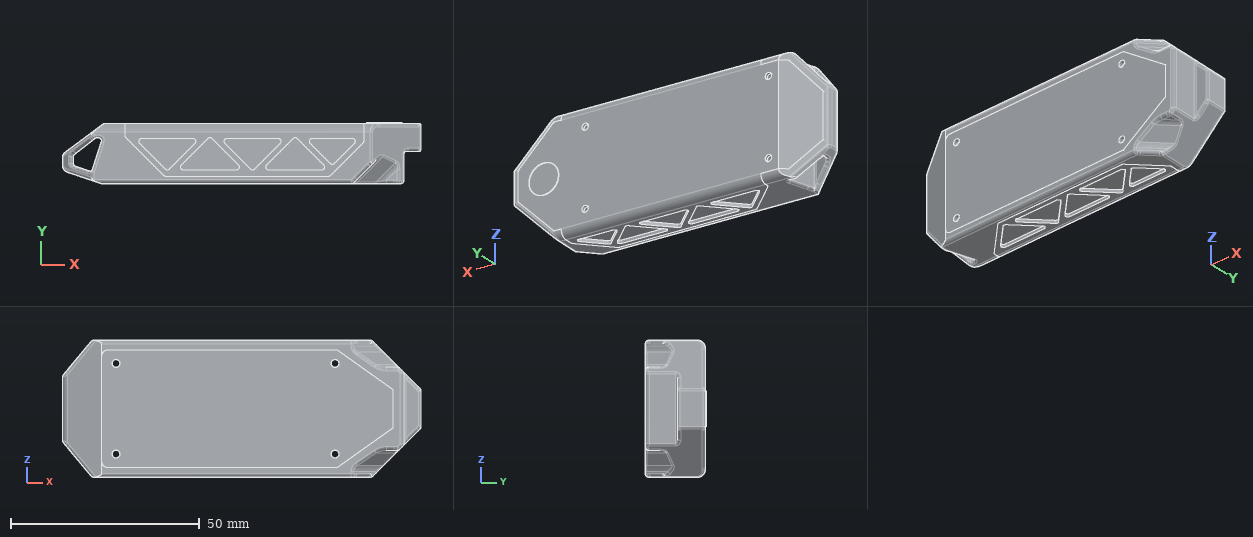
import cadquery as cq
import math


LENGTH = 94.98
WIDTH = 36.4
DEPTH = 16.0
HALF_WIDTH = WIDTH / 2

FRONT_FOLD_X = 10.4
BACK_FOLD_X = 11.0
NOSE_FRONT_Y = 3.5
NOSE_BACK_Y = 7.85
NOSE_FRONT_RADIUS = 2.0
NOSE_BACK_RADIUS = 1.65
LOOP_CORNER_X = 7.9
LOOP_NOSE_HALF_WIDTH = 8.7
LOOP_SLOPE = (HALF_WIDTH - LOOP_NOSE_HALF_WIDTH) / LOOP_CORNER_X

TIP_HALF_WIDTH = 5.07
TIP_FRONT_Y = 8.55
SHOULDER_X = 90.5
SIDE_CORNER_X = LENGTH - (HALF_WIDTH - TIP_HALF_WIDTH)

FRONT_EDGE_RADIUS = 1.1
BACK_EDGE_RADIUS = 2.3
LOOP_EDGE_RADIUS = 1.1
TIP_EDGE_RADIUS = 0.9
TIP_END_RADIUS = 0.65
SHOULDER_RADIUS = 0.5

STRAP_HOLE_FRONT_CORNER = (7.7, 3.25)
STRAP_HOLE_OTHER_CORNERS = [(10.6, 12.15), (8.85, 12.15), (2.98, 7.6), (2.98, 4.85)]
STRAP_HOLE_RADIUS = 0.7
STRAP_HOLE_FRONT_RADIUS = 0.4
STRAP_HOLE_RIM_RADIUS = 0.75

NOTCH_WALL_X = 76.85
NOTCH_KNEE_Z = 15.6
NOTCH_FLOOR_X = 83.6
NOTCH_FLOOR_Z = 11.0
NOTCH_KNEE_RADIUS = 1.8
NOTCH_FLOOR_RADIUS = 4.0
NOTCH_RIM_RADIUS = 1.0

LID_THICKNESS = 1.5
LID_HALF_WIDTH = 15.55
LID_TAPER_X = 72.8
LID_END_X = 87.5
LID_END_HALF_WIDTH = 5.1
LID_CORNER_RADIUS = 1.6

SCREW_DIAMETER = 2.0
SCREW_FIRST_X = 14.2
SCREW_SPACING_X = 58.0
SCREW_SPACING_Z = 24.0

COVER_THICKNESS = 1.0
COVER_HALF_WIDTH = HALF_WIDTH - BACK_EDGE_RADIUS
COVER_NOSE_X = 1.5
COVER_NOSE_HALF_WIDTH = 7.1
COVER_TIP_X = 93.5
COVER_TIP_HALF_WIDTH = 4.5

FLAP_START_X = 16.6
FLAP_END_X = 79.8
FLAP_BOTTOM_Y = 2.0
FLAP_BOTTOM_START_X = 27.05
FLAP_BOTTOM_END_X = 70.8
FLAP_CORNER_RADIUS = 0.8

RIB_WIDTH = 1.5
WINDOW_TOP_Y = 12.0
WINDOW_BASE_Y = 3.7
WINDOW_FIRST_X = 27.78
WINDOW_PITCH = 22.57
WINDOW_HALF_WIDTH = 8.61
LAST_WINDOW_HALF_WIDTH = 7.15
WINDOW_CORNER_RADIUS = 0.75

PAD_DIAMETER = 9.35
PAD_HEIGHT = 0.21
PAD_X = 85.2

CLEARANCE = 5.0
TOLERANCE = 0.01


def mirrored(upper_points):
    """Outline symmetric about Z = 0 from its upper half, listed from -X to +X."""
    return upper_points + [(x, -z) for x, z in reversed(upper_points)]


def along_z(points, z_start=-HALF_WIDTH, z_end=HALF_WIDTH):
    """Prism of an XY outline between two Z positions."""
    outline = cq.Workplane("XY", origin=(0, 0, z_start)).polyline(points).close()
    return outline.extrude(z_end - z_start)


def along_y(points, y_start, y_end):
    """Prism of an XZ outline between two Y positions."""
    outline = cq.Workplane("XZ", origin=(0, y_start, 0)).polyline(points).close()
    return outline.extrude(y_start - y_end)


def matching_edges(body, test):
    """Edges of the body that pass the test."""
    return body.newObject([edge for edge in body.edges().vals() if test(edge)])


def upright_edges(prism, *corners):
    """Edges of a Z prism that stand on the given XY corners."""
    def on_corner(edge):
        foot = edge.Center()
        return any(math.dist((foot.x, foot.y), corner) < TOLERANCE for corner in corners)
    return prism.newObject([edge for edge in prism.edges("|Z").vals() if on_corner(edge)])


def lies_on(edge, height):
    """True where the edge keeps to the surface on which the height function of a point is zero."""
    return all(abs(height(edge.positionAt(t))) < TOLERANCE for t in (0, 0.5, 1))


def opening_rim(body, uncut_body, cutter):
    """Edges that a cutter left on the outer surface of the body it cut."""
    skin = uncut_body.val().Shells()[0]
    tool = cutter.val()

    def on_rim(edge):
        middle = cq.Vertex.makeVertex(*edge.positionAt(0.5).toTuple())
        return middle.distance(skin) < TOLERANCE and middle.distance(tool) < TOLERANCE
    return matching_edges(body, on_rim)


def side_profile():
    """Form seen along Z: sloped strap end, flat front and back, stepped tip."""
    nose_front = (0, NOSE_FRONT_Y)
    nose_back = (0, NOSE_BACK_Y)
    shoulder_front = (SHOULDER_X, 0)
    shoulder_inner = (SHOULDER_X, TIP_FRONT_Y)
    tip_front = (LENGTH, TIP_FRONT_Y)
    tip_back = (LENGTH, DEPTH)
    profile = along_z([
        nose_front, (FRONT_FOLD_X, 0), shoulder_front, shoulder_inner,
        tip_front, tip_back, (BACK_FOLD_X, DEPTH), nose_back])
    profile = upright_edges(profile, nose_front).fillet(NOSE_FRONT_RADIUS)
    profile = upright_edges(profile, nose_back).fillet(NOSE_BACK_RADIUS)
    profile = upright_edges(profile, shoulder_front).fillet(FRONT_EDGE_RADIUS)
    profile = upright_edges(profile, shoulder_inner).fillet(SHOULDER_RADIUS)
    return upright_edges(profile, tip_front, tip_back).fillet(TIP_END_RADIUS)


def plan_form():
    """Form seen along Y: a long octagon with a narrow tip."""
    return along_y(mirrored([
        (0, LOOP_NOSE_HALF_WIDTH), (LOOP_CORNER_X, HALF_WIDTH),
        (SIDE_CORNER_X, HALF_WIDTH), (LENGTH, TIP_HALF_WIDTH)]), 0, DEPTH)


def rounded_slab():
    """Long bar with the case's cross-section: small front radii, large back radii."""
    slab = cq.Workplane("XY").box(LENGTH, DEPTH, WIDTH, centered=(False, False, True))
    slab = slab.edges("|X and <Y").fillet(FRONT_EDGE_RADIUS)
    return slab.edges("|X and >Y").fillet(BACK_EDGE_RADIUS)


def round_loop_edges(body):
    """Round the outline of the two slanted faces beside the strap loop."""
    def above_loop_face(point):
        return abs(point.z) - LOOP_NOSE_HALF_WIDTH - LOOP_SLOPE * point.x
    rim = matching_edges(body, lambda edge: lies_on(edge, above_loop_face))
    return rim.fillet(LOOP_EDGE_RADIUS)


def round_tip_edges(body):
    """Round the outline of the two 45 degree faces, except along the shoulder below the tip."""
    def above_tip_face(point):
        return point.x + abs(point.z) - LENGTH - TIP_HALF_WIDTH

    def on_tip_outline(edge):
        centre = edge.Center()
        on_tip = centre.y > TIP_FRONT_Y - TOLERANCE
        on_side_corner = abs(centre.x - SIDE_CORNER_X) < TOLERANCE
        return lies_on(edge, above_tip_face) and (on_tip or on_side_corner)
    return matching_edges(body, on_tip_outline).fillet(TIP_EDGE_RADIUS)


def cut_strap_hole(body):
    """Opening across the strap end, with a rounded rim."""
    hole = along_z([STRAP_HOLE_FRONT_CORNER] + STRAP_HOLE_OTHER_CORNERS)
    hole = upright_edges(hole, *STRAP_HOLE_OTHER_CORNERS).fillet(STRAP_HOLE_RADIUS)
    hole = upright_edges(hole, STRAP_HOLE_FRONT_CORNER).fillet(STRAP_HOLE_FRONT_RADIUS)
    cut_body = body.cut(hole)
    return opening_rim(cut_body, body, hole).fillet(STRAP_HOLE_RIM_RADIUS)


def notch_cutter():
    """Bent XZ outline swept along the X = Y diagonal, from ahead of the front face to the back."""
    start = -CLEARANCE
    outer_x = LENGTH + CLEARANCE
    outer_z = HALF_WIDTH + CLEARANCE
    knee = (NOTCH_WALL_X, NOTCH_KNEE_Z)
    floor_start = (NOTCH_FLOOR_X, NOTCH_FLOOR_Z)
    outline = [
        (NOTCH_WALL_X, outer_z), knee, floor_start, (outer_x, NOTCH_FLOOR_Z), (outer_x, outer_z)]
    wire = cq.Workplane("XZ", origin=(start, start, 0)).polyline(outline).close().wire().val()
    face = cq.Face.makeFromWires(wire)
    for corner, radius in ((knee, NOTCH_KNEE_RADIUS), (floor_start, NOTCH_FLOOR_RADIUS)):
        place = (corner[0] + start, start, corner[1])
        vertices = [v for v in face.Vertices() if math.dist(v.toTuple(), place) < TOLERANCE]
        face = face.fillet2D(radius, vertices)
    reach = DEPTH + CLEARANCE
    return cq.Workplane(cq.Solid.extrudeLinear(face, cq.Vector(reach, reach, 0)))


def cut_notches(body):
    """Diagonal finger notches on both sides of the tip, with rounded rims."""
    upper_cutter = notch_cutter()
    for cutter in (upper_cutter, upper_cutter.mirror("XY")):
        cut_body = body.cut(cutter)
        body = opening_rim(cut_body, body, cutter).fillet(NOTCH_RIM_RADIUS)
    return body


def screw_holes():
    """Four holes through the whole depth."""
    return (
        cq.Workplane("XZ", origin=(SCREW_FIRST_X + SCREW_SPACING_X / 2, 0, 0))
        .rect(SCREW_SPACING_X, SCREW_SPACING_Z, forConstruction=True)
        .vertices()
        .circle(SCREW_DIAMETER / 2)
        .extrude(-DEPTH)
    )


def closed_case():
    """Whole case as one block, before it is divided into its bodies."""
    case = side_profile().intersect(plan_form())
    case = round_loop_edges(case)
    case = cut_strap_hole(case)
    case = case.intersect(rounded_slab())
    case = round_tip_edges(case)
    case = cut_notches(case)
    return case.cut(screw_holes())


def lid_space():
    """Flush recess in the front face, starting at the front fold and tapering towards the tip."""
    space = along_y(mirrored([
        (FRONT_FOLD_X, LID_HALF_WIDTH), (LID_TAPER_X, LID_HALF_WIDTH),
        (LID_END_X, LID_END_HALF_WIDTH)]), 0, LID_THICKNESS)
    return space.edges("|Y and <X").fillet(LID_CORNER_RADIUS)


def back_skin():
    """Layer of cover thickness under the flat back and the sloped back of the strap end."""
    slope_angle = math.atan2(DEPTH - NOSE_BACK_Y, BACK_FOLD_X)
    inner_y = DEPTH - COVER_THICKNESS
    inner_fold_x = BACK_FOLD_X + COVER_THICKNESS * math.tan(slope_angle / 2)
    inner_nose_y = inner_y - inner_fold_x * math.tan(slope_angle)
    outer_y = DEPTH + CLEARANCE
    return along_z([
        (0, inner_nose_y), (inner_fold_x, inner_y), (LENGTH, inner_y),
        (LENGTH, outer_y), (0, outer_y)])


def cover_outline():
    """Plan of the cover on the back, widened to the full width between the ends of the flaps."""
    nose_run = (COVER_HALF_WIDTH - COVER_NOSE_HALF_WIDTH) / LOOP_SLOPE
    tip_run = COVER_HALF_WIDTH - COVER_TIP_HALF_WIDTH
    return along_y(mirrored([
        (COVER_NOSE_X, COVER_NOSE_HALF_WIDTH), (COVER_NOSE_X + nose_run, COVER_HALF_WIDTH),
        (FLAP_START_X, COVER_HALF_WIDTH), (FLAP_START_X, HALF_WIDTH),
        (FLAP_END_X, HALF_WIDTH), (FLAP_END_X, COVER_HALF_WIDTH),
        (COVER_TIP_X - tip_run, COVER_HALF_WIDTH), (COVER_TIP_X, COVER_TIP_HALF_WIDTH)]),
        0, DEPTH + CLEARANCE)


def side_flap():
    """Tapered flap on the +Z side, reaching from the back down towards the front."""
    bottom_start = (FLAP_BOTTOM_START_X, FLAP_BOTTOM_Y)
    bottom_end = (FLAP_BOTTOM_END_X, FLAP_BOTTOM_Y)
    start_knee = (FLAP_START_X, FLAP_BOTTOM_Y + FLAP_BOTTOM_START_X - FLAP_START_X)
    end_knee = (FLAP_END_X, FLAP_BOTTOM_Y + FLAP_END_X - FLAP_BOTTOM_END_X)
    flap = along_z([
        (FLAP_START_X, DEPTH), start_knee, bottom_start, bottom_end, end_knee, (FLAP_END_X, DEPTH)],
        HALF_WIDTH - COVER_THICKNESS, HALF_WIDTH)
    return upright_edges(flap, start_knee, bottom_start, bottom_end, end_knee).fillet(FLAP_CORNER_RADIUS)


def cover_space():
    """Back skin within the cover outline, joined to both side flaps."""
    flap = side_flap()
    return back_skin().intersect(cover_outline()).union(flap).union(flap.mirror("XY"))


def window(centre_x, half_width, base_y, direction):
    """45 degree triangular window through both flaps; it points to +Y or -Y as direction is 1 or -1."""
    apex_y = base_y + direction * half_width
    triangle = along_z([
        (centre_x - half_width, base_y), (centre_x + half_width, base_y), (centre_x, apex_y)])
    triangle = triangle.edges("|Z").fillet(WINDOW_CORNER_RADIUS)
    core_width = WIDTH - 2 * COVER_THICKNESS
    core = cq.Workplane("XY").box(LENGTH, DEPTH, core_width, centered=(False, False, True))
    return triangle.cut(core)


def flap_windows():
    """Row of windows pointing alternately to the front and to the back, one rib width apart."""
    rib_step = RIB_WIDTH * math.sqrt(2)
    half_width_at_top = WINDOW_PITCH / 2 - WINDOW_HALF_WIDTH - rib_step
    half_width_at_base = half_width_at_top + WINDOW_TOP_Y - WINDOW_BASE_Y
    windows = []
    for i in range(2):
        centre_x = WINDOW_FIRST_X + i * WINDOW_PITCH
        windows.append(window(centre_x, WINDOW_HALF_WIDTH, WINDOW_TOP_Y, -1))
        windows.append(window(centre_x + WINDOW_PITCH / 2, half_width_at_base, WINDOW_BASE_Y, 1))
    last_x = WINDOW_FIRST_X + 2 * WINDOW_PITCH - (WINDOW_HALF_WIDTH - LAST_WINDOW_HALF_WIDTH)
    windows.append(window(last_x, LAST_WINDOW_HALF_WIDTH, WINDOW_TOP_Y, -1))
    return windows


def make_housing(case):
    return case.cut(lid_space()).cut(cover_space())


def make_lid(case):
    return case.intersect(lid_space())


def make_cover(case):
    cover = case.intersect(cover_space())
    for opening in flap_windows():
        cover = cover.cut(opening)
    pad = cq.Workplane("XZ", origin=(PAD_X, DEPTH - COVER_THICKNESS, 0))
    pad = pad.circle(PAD_DIAMETER / 2).extrude(-COVER_THICKNESS - PAD_HEIGHT)
    return cover.union(pad)


case = closed_case()
housing = make_housing(case)
lid = make_lid(case)
cover = make_cover(case)
result = cq.Compound.makeCompound([body.solids().val() for body in (housing, lid, cover)])